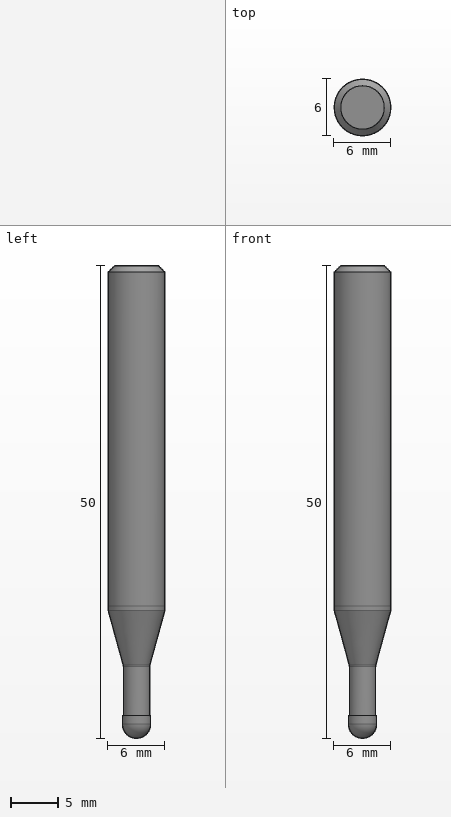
import cadquery as cq
import math

overall_length = 50.0

ball_radius = 1.5
cutting_length = 2.4

shank_radius = 2 * ball_radius
shank_length = 36.0
shank_chamfer = 0.7
shank_start = overall_length - shank_length

neck_relief = 0.1
neck_radius = ball_radius - neck_relief
cone_start = 7.68
cone_end = 13.5
neck_fillet = 0.6


def make_cutting_head():
    """Hemispherical tip with a short cylinder above it."""
    half_chord = ball_radius * math.sqrt(0.5)
    profile = (
        cq.Workplane("YZ")
        .moveTo(0, 0)
        .threePointArc((half_chord, ball_radius - half_chord), (ball_radius, ball_radius))
        .lineTo(ball_radius, cutting_length)
        .lineTo(0, cutting_length)
        .close()
    )
    return profile.revolve(360, (0, 0), (0, 1))


def make_holder():
    """Neck, cone and chamfered shank, turned as one piece."""
    cone_angle = math.atan2(shank_radius - neck_radius, cone_end - cone_start)
    tangent_length = neck_fillet * math.tan(cone_angle / 2)
    fillet_end = (
        neck_radius + tangent_length * math.sin(cone_angle),
        cone_start + tangent_length * math.cos(cone_angle),
    )
    profile = (
        cq.Workplane("YZ")
        .moveTo(0, cutting_length)
        .lineTo(neck_radius, cutting_length)
        .lineTo(neck_radius, cone_start - tangent_length)
        .tangentArcPoint(fillet_end, relative=False)
        .lineTo(shank_radius, cone_end)
        .lineTo(shank_radius, shank_start)
        .lineTo(shank_radius, overall_length - shank_chamfer)
        .lineTo(shank_radius - shank_chamfer, overall_length)
        .lineTo(0, overall_length)
        .close()
    )
    return profile.revolve(360, (0, 0), (0, 1), clean=False)


cutting_head = make_cutting_head()
holder = make_holder()

result = cq.Compound.makeCompound([cutting_head.val(), holder.val()])